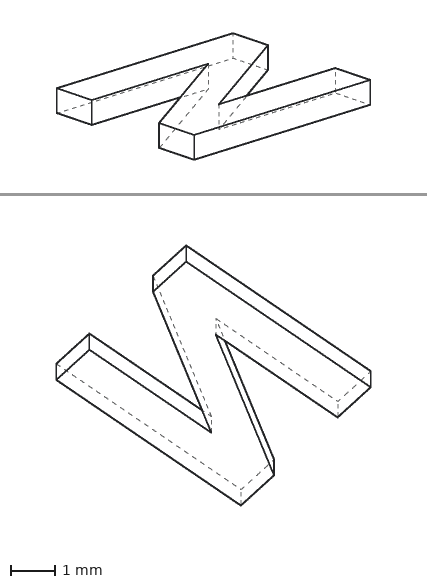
import cadquery as cq

width = 4.5
height = 5.53
thickness = 0.6

stem_width = 1.15
notch_depth = 3.65

half_width = width / 2
half_height = height / 2
stem_inner_x = half_width - stem_width
notch_tip_y = notch_depth - half_height

half_outline = [
    (-half_width, -half_height),
    (-half_width, half_height),
    (-stem_inner_x, half_height),
    (stem_inner_x, -notch_tip_y),
    (stem_inner_x, half_height),
]

opposite_half = [(-x, -y) for x, y in half_outline]

result = cq.Workplane("XY").polyline(half_outline + opposite_half).close().extrude(thickness)